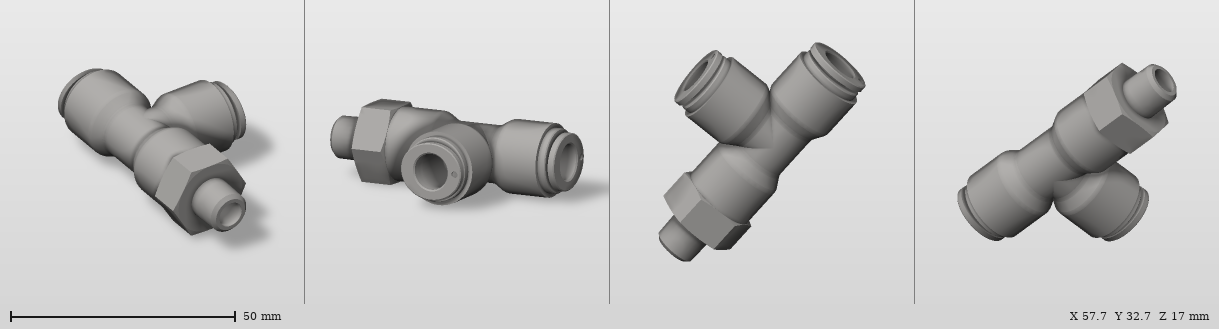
import cadquery as cq
import math


branch_angle = 90
run_angle = 180
push_in_angles = (branch_angle, run_angle)
stud_angle = 0

socket_diameter = 8.2
passage_diameter = 6.0

arm_length = 18.8
arm_diameter = 16.7
waist_diameter = 13.0
taper_end = 8.8
taper_angle = 30.0
taper_blend_radius = 2.0
taper_start = taper_end - (arm_diameter - waist_diameter) / 2 / math.tan(math.radians(taper_angle))

ring_length = 1.8
ring_diameter = 14.7
ring_chamfer = 0.25

sleeve_length = 2.3
flange_thickness = 1.5
flange_width = 15.0
flange_height = 13.0
flange_chamfer = 0.25
neck_diameter = 9.6
mouth_diameter = 8.8
mouth_chamfer = (mouth_diameter - socket_diameter) / 2
mark_diameter = 1.5
mark_offset = 6.0
mark_depth = 0.5

hex_length = 7.9
hex_across_flats = 17.0
hex_sides = 6
hex_across_corners = hex_across_flats / math.cos(math.pi / hex_sides)
hex_inner_chamfer = 0.43
hex_outer_chamfer = 0.3
stud_end = 34.75
thread_start_diameter = 9.95
thread_end_diameter = 9.55
thread_chamfer = 0.85


def make_arm():
    """Solid arm along +X: waist, blended taper and full-size barrel."""
    waist_radius = waist_diameter / 2
    arm_radius = arm_diameter / 2
    arm = (
        cq.Workplane("XY")
        .moveTo(0, 0)
        .lineTo(0, waist_radius)
        .lineTo(taper_start, waist_radius)
        .lineTo(taper_end, arm_radius)
        .lineTo(arm_length, arm_radius)
        .lineTo(arm_length, 0)
        .close()
        .revolve(360, (0, 0, 0), (1, 0, 0))
    )
    taper_circles = arm.edges("%CIRCLE").edges("not (<X or >X)")
    return taper_circles.fillet(taper_blend_radius)


def turn(body, angle):
    """Turn a body about the vertical axis through the crossing of run and branch."""
    return body.rotate((0, 0, 0), (0, 0, 1), angle)


def cylinder_along_x(start, length, diameter):
    """Solid cylinder on the X axis, starting at the given X."""
    return cq.Workplane("YZ").workplane(offset=start).circle(diameter / 2).extrude(length)


def make_housing():
    """Tee of three equal arms with two tube sockets and a connecting passage."""
    housing = make_arm()
    for angle in push_in_angles:
        housing = housing.union(turn(make_arm(), angle))
    for angle in (stud_angle, *push_in_angles):
        housing = housing.cut(turn(cylinder_along_x(0, arm_length, passage_diameter), angle))
    for angle in push_in_angles:
        socket = cylinder_along_x(taper_end, arm_length - taper_end, socket_diameter)
        housing = housing.cut(turn(socket, angle))
    return housing


def make_guide_ring():
    """Ring on the +X arm, with its outer front edge chamfered."""
    ring = cylinder_along_x(arm_length, ring_length, ring_diameter).faces(">X").chamfer(ring_chamfer)
    return ring.cut(cylinder_along_x(arm_length, ring_length, socket_diameter))


def make_release_sleeve():
    """Sleeve on the +X arm: neck and oval flange with a blind mark."""
    neck_start = arm_length + ring_length
    face = neck_start + sleeve_length
    flange_start = face - flange_thickness
    flange = cq.Workplane("YZ").workplane(offset=flange_start)
    flange = flange.ellipse(flange_width / 2, flange_height / 2).extrude(flange_thickness)
    flange = flange.faces(">X").chamfer(flange_chamfer)
    sleeve = flange.union(cylinder_along_x(neck_start, sleeve_length - flange_thickness, neck_diameter))
    sleeve = sleeve.cut(cylinder_along_x(neck_start, sleeve_length, socket_diameter))
    sleeve = sleeve.faces(">X").edges("%CIRCLE").chamfer(mouth_chamfer)
    mark = cylinder_along_x(face - mark_depth, mark_depth, mark_diameter).translate((0, mark_offset, 0))
    return sleeve.cut(mark)


def make_stud():
    """Hexagon with chamfered corners, tapered thread and through bore."""
    hex_end = arm_length + hex_length
    hexagon = cq.Workplane("YZ").workplane(offset=arm_length)
    hexagon = hexagon.polygon(hex_sides, hex_across_corners).extrude(hex_length)
    corner_radius = hex_across_corners / 2
    face_radius = hex_across_flats / 2
    corner_cutter = (
        cq.Workplane("XY")
        .moveTo(arm_length, 0)
        .lineTo(arm_length, face_radius)
        .lineTo(arm_length + hex_inner_chamfer, corner_radius)
        .lineTo(hex_end - hex_outer_chamfer, corner_radius)
        .lineTo(hex_end, face_radius)
        .lineTo(hex_end, 0)
        .close()
        .revolve(360, (0, 0, 0), (1, 0, 0))
    )
    thread_end_radius = thread_end_diameter / 2
    thread = (
        cq.Workplane("XY")
        .moveTo(hex_end, 0)
        .lineTo(hex_end, thread_start_diameter / 2)
        .lineTo(stud_end - thread_chamfer, thread_end_radius)
        .lineTo(stud_end, thread_end_radius - thread_chamfer)
        .lineTo(stud_end, 0)
        .close()
        .revolve(360, (0, 0, 0), (1, 0, 0))
    )
    stud = hexagon.intersect(corner_cutter).union(thread)
    return stud.cut(cylinder_along_x(arm_length, stud_end - arm_length, passage_diameter))


housing = make_housing()
stud = make_stud()
guide_rings = [turn(make_guide_ring(), angle).val() for angle in push_in_angles]
release_sleeves = [turn(make_release_sleeve(), angle).val() for angle in push_in_angles]

result = cq.Compound.makeCompound([housing.val(), stud.val(), *guide_rings, *release_sleeves])